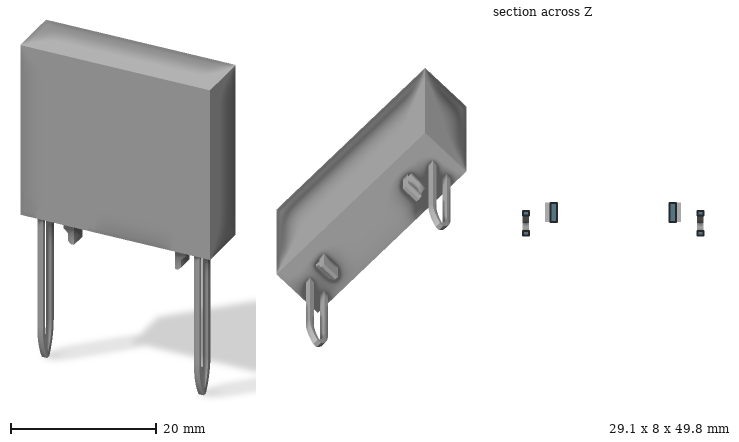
import cadquery as cq
import math

body_length = 29.05
body_width = 8.0
total_height = 49.75
terminal_length = 23.05
body_height = total_height - terminal_length

terminal_x = 12.0
terminal_y = -1.3
terminal_span = 3.45
wire_width = 0.85
wire_thickness = 0.7
straight_length = 17.8
tip_width = 0.65

clip_inner_x = 7.7
clip_thickness = 0.95
clip_length = 4.55
clip_width = 2.65
clip_y = 0.2
clip_chamfer = 0.45
barb_depth = 0.7
barb_top = 1.45
barb_flat = 0.8
barb_slope_height = 0.65


def make_body():
    return cq.Workplane("XY").box(
        body_length, body_width, body_height, centered=(True, True, False)
    )


def make_terminal(x):
    """Bent flat wire: two straight legs whose arcs meet in a blunt pointed tip."""
    half_span = terminal_span / 2
    half_tip = tip_width / 2
    inner_half = half_span - wire_thickness

    sweep_in = half_span - half_tip
    drop = terminal_length - straight_length
    outer_radius = (sweep_in**2 + drop**2) / (2 * sweep_in)
    inner_radius = outer_radius - wire_thickness
    arc_center = half_span - outer_radius

    outer_angle = math.asin(drop / outer_radius) / 2
    outer_mid_y = arc_center + outer_radius * math.cos(outer_angle)
    outer_mid_z = -straight_length - outer_radius * math.sin(outer_angle)

    inner_end_angle = math.acos(-arc_center / inner_radius)
    inner_tip_z = -straight_length - inner_radius * math.sin(inner_end_angle)
    inner_mid_y = arc_center + inner_radius * math.cos(inner_end_angle / 2)
    inner_mid_z = -straight_length - inner_radius * math.sin(inner_end_angle / 2)

    return (
        cq.Workplane("YZ", origin=(x - wire_width / 2, terminal_y, 0))
        .moveTo(-half_span, 0)
        .lineTo(-half_span, -straight_length)
        .threePointArc((-outer_mid_y, outer_mid_z), (-half_tip, -terminal_length))
        .lineTo(half_tip, -terminal_length)
        .threePointArc((outer_mid_y, outer_mid_z), (half_span, -straight_length))
        .lineTo(half_span, 0)
        .lineTo(inner_half, 0)
        .lineTo(inner_half, -straight_length)
        .threePointArc((inner_mid_y, inner_mid_z), (0, inner_tip_z))
        .threePointArc((-inner_mid_y, inner_mid_z), (-inner_half, -straight_length))
        .lineTo(-inner_half, 0)
        .close()
        .extrude(wire_width)
    )


def make_clip():
    """Clip on the +X side, with an outward barb and a chamfered lower end."""
    outer_x = clip_inner_x + clip_thickness
    barb_x = outer_x + barb_depth
    slope_top = barb_top + barb_flat
    outline = [
        (clip_inner_x, 0),
        (outer_x, 0),
        (outer_x, -barb_top),
        (barb_x, -barb_top),
        (barb_x, -slope_top),
        (outer_x, -slope_top - barb_slope_height),
        (outer_x, -clip_length + clip_chamfer),
        (outer_x - clip_chamfer, -clip_length),
        (clip_inner_x, -clip_length),
    ]
    return (
        cq.Workplane("XZ", origin=(0, clip_y + clip_width / 2, 0))
        .polyline(outline)
        .close()
        .extrude(clip_width)
    )


clip = make_clip()
result = make_body().union(clip).union(clip.mirror("YZ"))
for side in (-1, 1):
    result = result.union(make_terminal(side * terminal_x))